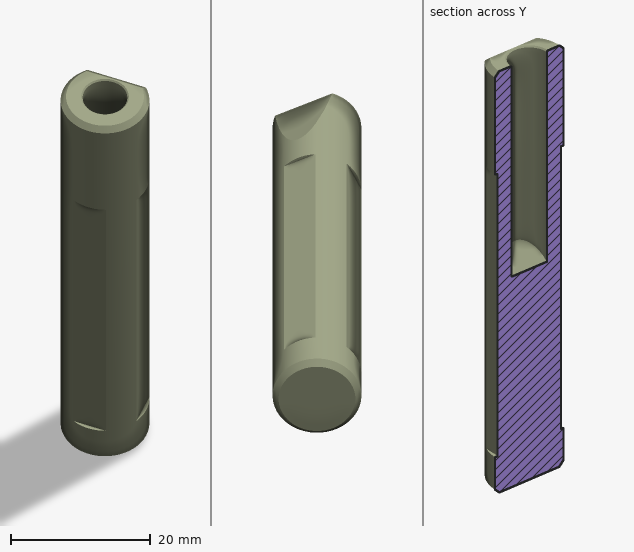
import cadquery as cq

length = 71.1
diameter = 12.7
radius = diameter / 2
top_chamfer = 0.8
bottom_chamfer = 0.85

flat_width = 5.0
flat_bottom = 6.3
flat_top = 53.9
flat_distance = (radius**2 - (flat_width / 2) ** 2) ** 0.5

bore_diameter = 6.4
bore_radius = bore_diameter / 2
bore_depth = 35.55
bore_chamfer = 0.2

relief_start = 58.75
relief_top_y = 4.35
overshoot = 0.7


def make_body():
    body = cq.Workplane("XY").circle(radius).extrude(length).cut(make_relief_cutter())
    body = body.faces(">Z").edges().chamfer(top_chamfer)
    return body.faces("<Z").edges().chamfer(bottom_chamfer)


def make_flat_cutter(angle):
    """Block that leaves one flat, turned about the body axis."""
    depth = radius - flat_distance + overshoot
    return (
        cq.Workplane("XY")
        .box(depth, diameter, flat_top - flat_bottom, centered=(False, True, False))
        .translate((flat_distance, 0, flat_bottom))
        .rotate((0, 0, 0), (0, 0, 1), angle)
    )


def make_relief_cutter():
    """Wedge that slopes inward towards the top."""
    return (
        cq.Workplane("YZ")
        .moveTo(radius, relief_start)
        .lineTo(relief_top_y, length)
        .lineTo(radius, length)
        .close()
        .extrude(radius, both=True)
    )


def make_bore_cutter():
    """Bore whose floor rises towards +Y, with a chamfered mouth."""
    floor_middle = length - bore_depth
    floor_low = floor_middle - bore_radius
    floor_high = floor_middle + bore_radius
    bore = cq.Workplane("XY").workplane(offset=floor_low).circle(bore_radius).extrude(length - floor_low)
    floor_wedge = (
        cq.Workplane("YZ")
        .moveTo(-bore_radius, floor_low)
        .lineTo(bore_radius, floor_low)
        .lineTo(bore_radius, floor_high)
        .close()
        .extrude(bore_radius, both=True)
    )
    mouth = (
        cq.Workplane("XY")
        .workplane(offset=length)
        .circle(bore_radius + bore_chamfer)
        .workplane(offset=-bore_chamfer)
        .circle(bore_radius)
        .loft(ruled=True)
    )
    return bore.cut(floor_wedge).union(mouth)


result = make_body()
for angle in (0, 90, 180, 270):
    result = result.cut(make_flat_cutter(angle))
result = result.cut(make_bore_cutter())